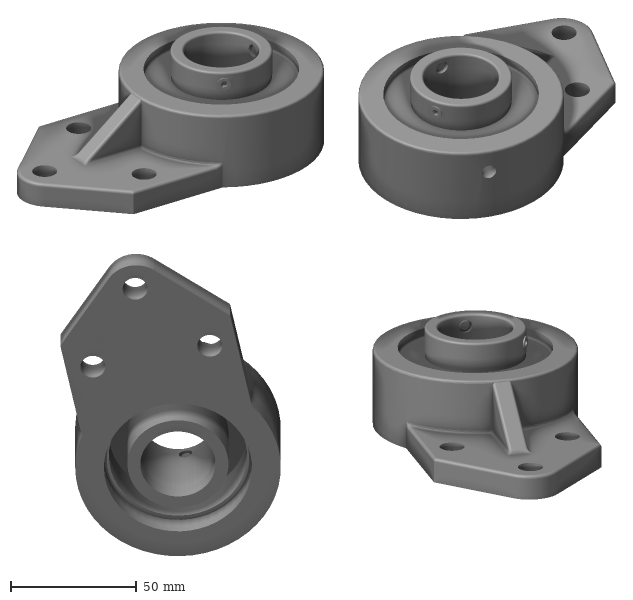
import cadquery as cq
import math

barrel_radius = 40.97
barrel_height = 32.0
rim_fillet = 1.1
root_fillet = 1.2

flange_thickness = 10.0
flange_half_width = 34.55
flange_shoulder_y = -64.5
flange_tip_y = -95.01
flange_tip_radius = 12.7
flange_fillet = 1.3
bolt_hole_diameter = 10.0
bolt_pair_x = 23.8
bolt_pair_y = -52.4
bolt_tip_y = -84.2

rib_width = 8.0
rib_slope_fillet = 1.25
rib_start_y = -(barrel_radius - rim_fillet)
rib_end_y = -68.0

bearing_center_z = 18.6
bearing_half_width = 9.5
bearing_face_z = bearing_center_z + bearing_half_width
sphere_radius = 62.02 / 2
face_radius = math.sqrt(sphere_radius**2 - bearing_half_width**2)
counterbore_fillet = 0.9

grease_hole_diameter = 6.0
grease_hole_z = 21.9
grease_hole_azimuth = 135.0

seal_outer_radius = 55.1 / 2
seal_thickness = 1.5
seal_rise = 0.4

ring_bore_radius = 30.0 / 2
collar_radius = 40.79 / 2
neck_radius = 40.28 / 2
ring_top_z = 40.8
ring_bottom_z = 2.7
collar_bottom_z = 30.8
ring_fillet = 1.0

screw_diameter = 5.36
screw_z = 35.8
screw_azimuths = (-30.0, 90.0)
screw_protrusion = 0.5
screw_recess = 0.8
screw_outer_reach = collar_radius + screw_protrusion
screw_inner_reach = ring_bore_radius + screw_recess
screw_point_chamfer = 0.8
socket_width = 2.5
socket_depth = 2.0

margin = 0.1


def radial_plane(azimuth, radius, z):
    """Plane facing outward from the Z axis, its origin at the given radius and height."""
    angle = math.radians(azimuth)
    outward = (math.cos(angle), math.sin(angle), 0)
    origin = (radius * outward[0], radius * outward[1], z)
    sideways = (-outward[1], outward[0], 0)
    return cq.Plane(origin=origin, xDir=sideways, normal=outward)


def build_flange():
    tip_center_y = flange_tip_y + flange_tip_radius
    shoulder_drop = flange_shoulder_y - tip_center_y
    shoulder_distance = math.hypot(flange_half_width, shoulder_drop)
    side_angle = math.atan2(shoulder_drop, flange_half_width) + math.asin(flange_tip_radius / shoulder_distance)
    tangent_x = flange_tip_radius * math.sin(side_angle)
    tangent_y = tip_center_y - flange_tip_radius * math.cos(side_angle)
    return (
        cq.Workplane("XY")
        .moveTo(-flange_half_width, 0)
        .lineTo(-flange_half_width, flange_shoulder_y)
        .lineTo(-tangent_x, tangent_y)
        .threePointArc((0, flange_tip_y), (tangent_x, tangent_y))
        .lineTo(flange_half_width, flange_shoulder_y)
        .lineTo(flange_half_width, 0)
        .close()
        .extrude(flange_thickness)
    )


def build_rib():
    side_outline = [
        (0, 0),
        (rib_end_y, 0),
        (rib_end_y, flange_thickness),
        (rib_start_y, barrel_height),
        (0, barrel_height),
    ]
    return cq.Workplane("YZ").polyline(side_outline).close().extrude(rib_width / 2, both=True)


def edges_in(x_range, y_range, z_range):
    """Selector for the edges whose middle lies within the given ranges."""
    low_corner, high_corner = zip(x_range, y_range, z_range)
    return cq.selectors.BoxSelector(low_corner, high_corner)


def build_casting():
    """Barrel, flange and rib blended into one another."""
    barrel = cq.Workplane("XY").circle(barrel_radius).extrude(barrel_height)
    rib = build_rib()
    casting = barrel.union(build_flange()).union(rib)

    flange_top = (flange_thickness - margin, flange_thickness + margin)
    flange_inside = (-flange_half_width + margin, flange_half_width - margin)
    behind_rib_end = (rib_end_y - margin, 0)
    root_edges = edges_in(flange_inside, behind_rib_end, flange_top)
    casting = casting.edges(root_edges).fillet(root_fillet)

    rib_slope_edges = edges_in(
        (-rib_width, rib_width),
        (rib_end_y, -barrel_radius - root_fillet),
        (flange_thickness + 2 * root_fillet, barrel_height),
    )
    casting = casting.edges(rib_slope_edges).fillet(rib_slope_fillet)

    flange_left = (-flange_half_width - margin, -flange_half_width + margin)
    flange_right = (flange_half_width - margin, flange_half_width + margin)
    beyond_rib = (flange_tip_y - margin, rib_end_y - 2 * root_fillet)
    flange_length = (flange_tip_y, 0)
    outline_edges = (
        edges_in(flange_left, flange_length, flange_top)
        + edges_in(flange_right, flange_length, flange_top)
        + edges_in(flange_inside, beyond_rib, flange_top)
    )
    casting = casting.edges(outline_edges).fillet(flange_fillet)

    rim_trim = barrel.cut(barrel.faces(">Z").edges().fillet(rim_fillet)).cut(rib)
    return casting.cut(rim_trim)


def build_housing():
    bolt_points = [(-bolt_pair_x, bolt_pair_y), (bolt_pair_x, bolt_pair_y), (0, bolt_tip_y)]
    bolt_holes = cq.Workplane("XY").pushPoints(bolt_points).circle(bolt_hole_diameter / 2)
    bolt_holes = bolt_holes.extrude(flange_thickness)
    throat = cq.Workplane("XY").circle(face_radius).extrude(bearing_face_z)
    counterbore = (
        cq.Workplane("XY", origin=(0, 0, bearing_face_z))
        .circle(sphere_radius)
        .extrude(barrel_height - bearing_face_z)
        .faces("<Z")
        .edges()
        .fillet(counterbore_fillet)
    )
    grease_plane = radial_plane(grease_hole_azimuth, 0, grease_hole_z)
    grease_hole = cq.Workplane(grease_plane).circle(grease_hole_diameter / 2).extrude(barrel_radius)
    housing = build_casting()
    for cavity in (bolt_holes, throat, bearing_ball(), counterbore, grease_hole):
        housing = housing.cut(cavity)
    return housing


def bearing_ball():
    """Sphere with its top and bottom cut flat at the bearing's width."""
    slab_side = 2 * sphere_radius + margin
    slab = cq.Workplane("XY").box(slab_side, slab_side, 2 * bearing_half_width)
    ball = cq.Workplane("XY").sphere(sphere_radius).intersect(slab)
    return ball.translate((0, 0, bearing_center_z))


def build_outer_ring():
    bore = cq.Workplane("XY").circle(seal_outer_radius).extrude(barrel_height)
    return bearing_ball().cut(bore)


def build_seal():
    """Thin dished washer, higher at its inner edge."""
    return (
        cq.Workplane("XZ")
        .moveTo(neck_radius, bearing_face_z + seal_rise - seal_thickness)
        .lineTo(seal_outer_radius, bearing_face_z - seal_thickness)
        .lineTo(seal_outer_radius, bearing_face_z)
        .lineTo(neck_radius, bearing_face_z + seal_rise)
        .close()
        .revolve(360, (0, 0, 0), (0, 1, 0))
    )


def build_inner_ring():
    neck = cq.Workplane("XY", origin=(0, 0, ring_bottom_z)).circle(neck_radius)
    neck = neck.extrude(collar_bottom_z - ring_bottom_z)
    collar = cq.Workplane("XY", origin=(0, 0, collar_bottom_z)).circle(collar_radius)
    collar = collar.extrude(ring_top_z - collar_bottom_z)
    bore = cq.Workplane("XY").circle(ring_bore_radius).extrude(ring_top_z)
    ring = neck.union(collar).cut(bore).faces(">Z").edges().fillet(ring_fillet)
    for azimuth in screw_azimuths:
        screw_hole = cq.Workplane(radial_plane(azimuth, 0, screw_z)).circle(screw_diameter / 2)
        ring = ring.cut(screw_hole.extrude(collar_radius + margin))
    return ring


def build_set_screw(azimuth):
    """Set screw with a chamfered point and a hexagon socket in its outer end."""
    point_plane = radial_plane(azimuth, screw_inner_reach, screw_z)
    screw = cq.Workplane(point_plane).circle(screw_diameter / 2).extrude(screw_outer_reach - screw_inner_reach)
    point_face = cq.selectors.NearestToPointSelector((0, 0, screw_z))
    screw = screw.faces(point_face).edges().chamfer(screw_point_chamfer)
    socket_plane = radial_plane(azimuth, screw_outer_reach - socket_depth, screw_z)
    socket_corner_diameter = socket_width / math.cos(math.pi / 6)
    socket = cq.Workplane(socket_plane).polygon(6, socket_corner_diameter).extrude(socket_depth)
    return screw.cut(socket)


housing = build_housing()
outer_ring = build_outer_ring()
seal = build_seal()
inner_ring = build_inner_ring()
set_screws = [build_set_screw(azimuth) for azimuth in screw_azimuths]

result = cq.Compound.makeCompound(
    [housing.val(), outer_ring.val(), seal.val(), inner_ring.val()] + [screw.val() for screw in set_screws]
)